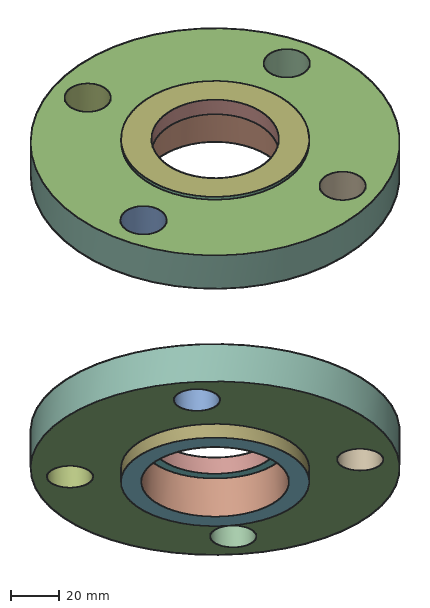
import cadquery as cq

flange_diameter = 152.4
flange_thickness = 17.5
boss_diameter = 77.7
raised_face_height = 1.5
hub_height = 6.4
bore_diameter = 52.6
socket_diameter = 61.0
bore_depth = 7.6
bolt_circle_diameter = 120.7
bolt_hole_diameter = 19.0
bolt_count = 4
first_bolt_angle = 45.0

total_height = hub_height + flange_thickness + raised_face_height
socket_depth = total_height - bore_depth


def cylinder(diameter, height, base_z=0.0):
    return cq.Workplane("XY").workplane(offset=base_z).circle(diameter / 2).extrude(height)


body = cylinder(boss_diameter, total_height).union(
    cylinder(flange_diameter, flange_thickness, hub_height)
)

body = body.cut(cylinder(bore_diameter, total_height))
body = body.cut(cylinder(socket_diameter, socket_depth))

bolt_holes = (
    cq.Workplane("XY")
    .polarArray(bolt_circle_diameter / 2, first_bolt_angle, 360, bolt_count)
    .circle(bolt_hole_diameter / 2)
    .extrude(total_height)
)
result = body.cut(bolt_holes)